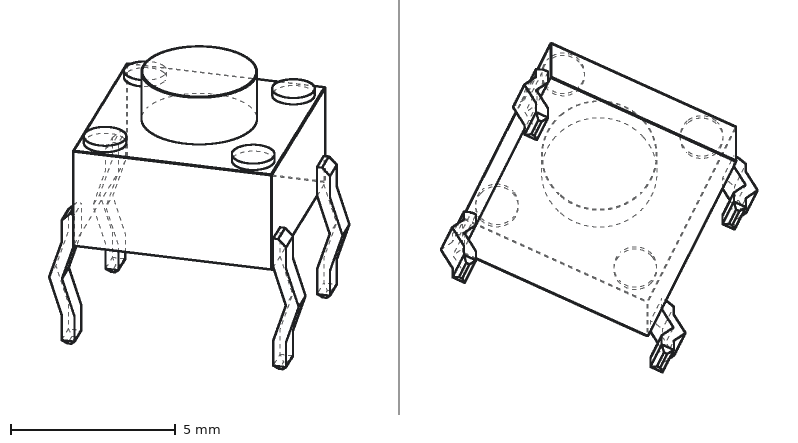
import cadquery as cq

body_side = 6.25
body_height = 3.23
edge_break = 0.025

button_diameter = 3.51
button_height = 1.605
rivet_diameter = 1.3
rivet_height = 0.22
rivet_spacing = 4.66

overall_length = 7.85
overall_height = 8.32
leg_thickness = 0.41
leg_width = 0.8
leg_spacing = 5.075
leg_embed = 0.04
leg_top = 0.98
leg_top_chamfer = 0.25
kink_height = 2.47
kink_depth = (overall_length - body_side) / 2 - leg_thickness

leg_length = overall_height - body_height - button_height
tip_height = 0.17
tip_end_thickness = 0.11
tip_end_width = 0.5


def make_housing():
    """Square block with broken edges, except the bottom edges along the leg walls."""
    block = cq.Workplane("XY").box(body_side, body_side, body_height, centered=(True, True, False))
    return block.edges("not(<Z and |Y)").chamfer(edge_break)


def make_button():
    """Round plunger with a lightly broken top rim."""
    plunger = cq.Workplane("XY", origin=(0, 0, body_height)).circle(button_diameter / 2).extrude(button_height)
    return plunger.faces(">Z").edges().chamfer(edge_break)


def make_rivets():
    """Four flat round heads on the top face."""
    centers = cq.Workplane("XY", origin=(0, 0, body_height)).rarray(rivet_spacing, rivet_spacing, 2, 2)
    return centers.circle(rivet_diameter / 2).extrude(rivet_height)


def make_leg():
    """Leg of the +X wall, centred on Y = 0: flat on the wall, kinked outward, with a tapered tip."""
    wall = body_side / 2
    inner = wall - leg_embed
    outer = wall + leg_thickness
    shank_bottom = tip_height - leg_length
    outline = [
        (inner, leg_top),
        (outer - leg_top_chamfer, leg_top),
        (outer, leg_top - leg_top_chamfer),
        (outer, 0),
        (outer + kink_depth, -kink_height / 2),
        (outer, -kink_height),
        (outer, shank_bottom),
        (wall, shank_bottom),
        (wall, -kink_height),
        (wall + kink_depth, -kink_height / 2),
        (wall, 0),
        (inner, 0),
    ]
    strip = cq.Workplane("XZ").polyline(outline).close().extrude(leg_width / 2, both=True)
    tip = (
        cq.Workplane("XY", origin=((wall + outer) / 2, 0, shank_bottom))
        .rect(leg_thickness, leg_width)
        .workplane(offset=-tip_height)
        .rect(tip_end_thickness, tip_end_width)
        .loft(ruled=True)
    )
    return strip.union(tip)


result = make_housing().union(make_button()).union(make_rivets())
right_leg = make_leg()
left_leg = right_leg.mirror("YZ")
for leg in (right_leg, left_leg):
    for side in (-1, 1):
        result = result.union(leg.translate((0, side * leg_spacing / 2, 0)))